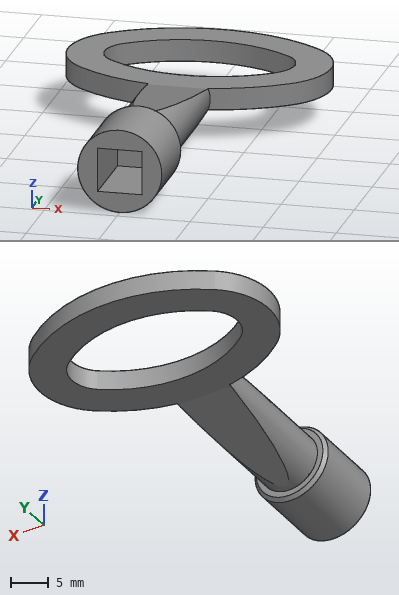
import cadquery as cq
import math

total_length = 57.0
overlap = 0.55

plate_thickness = 3.0
ring_half_width = 18.0
ring_half_height = 12.5
band_width = 5.0
end_radius = 9.6
ring_center_y = total_length - ring_half_height
ring_bottom_y = total_length - 2 * ring_half_height

shank_diameter = 8.8
taper_start_y = 12.1

socket_diameter = 11.5
socket_length = 11.05
socket_chamfer = 0.5
square_side = 6.05


def oval(inset):
    """Plate bounded by tangent arcs, inset evenly from the outer edge of the ring."""
    half_width = ring_half_width - inset
    half_height = ring_half_height - inset
    small_radius = end_radius - inset
    end_center_x = half_width - small_radius
    rise = half_height - small_radius
    center_drop = (end_center_x**2 - rise**2) / (2 * rise)
    angle = math.atan2(center_drop, end_center_x)
    joint_x = end_center_x + small_radius * math.cos(angle)
    joint_y = small_radius * math.sin(angle)
    return (
        cq.Workplane("XY", origin=(0, ring_center_y, -plate_thickness / 2))
        .moveTo(-joint_x, joint_y)
        .threePointArc((0, half_height), (joint_x, joint_y))
        .threePointArc((half_width, 0), (joint_x, -joint_y))
        .threePointArc((0, -half_height), (-joint_x, -joint_y))
        .threePointArc((-half_width, 0), (-joint_x, joint_y))
        .close()
        .extrude(plate_thickness)
    )


def cylinder_along_y(diameter, start_y, end_y):
    return (
        cq.Workplane("XZ", origin=(0, start_y, 0))
        .circle(diameter / 2)
        .extrude(start_y - end_y)
    )


def tapered_shank():
    """Round bar cut by two sloping flats that thin it down to the plate."""
    shank_end_y = ring_bottom_y + band_width / 2
    bar = cylinder_along_y(shank_diameter, socket_length - overlap, shank_end_y)
    radius = shank_diameter / 2
    half_plate = plate_thickness / 2
    side_profile = (
        cq.Workplane("YZ")
        .polyline([
            (0, -radius),
            (taper_start_y, -radius),
            (ring_bottom_y, -half_plate),
            (shank_end_y, -half_plate),
            (shank_end_y, half_plate),
            (ring_bottom_y, half_plate),
            (taper_start_y, radius),
            (0, radius),
        ])
        .close()
        .extrude(radius, both=True)
    )
    return bar.intersect(side_profile)


def socket_head():
    head = cylinder_along_y(socket_diameter, 0, socket_length)
    return head.faces(">Y").chamfer(socket_chamfer)


ring = oval(0).cut(oval(band_width))
drive_hole = cq.Workplane("XZ").rect(square_side, square_side).extrude(-socket_length)

result = ring.union(tapered_shank()).union(socket_head()).cut(drive_hole)
result = result.translate((0, -total_length / 2, 0))